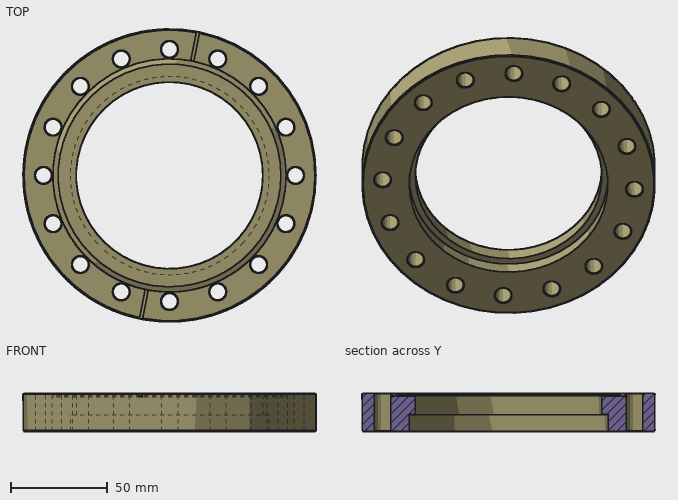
import cadquery as cq
import math

flange_diameter = 151.6
thickness = 19.9
rim_chamfer = 0.6

recess_radius = 60.4
recess_depth = 1.8
knife_radius = 57.6
knife_angle = 20.0
knife_depth = recess_depth - (recess_radius - knife_radius) * math.tan(math.radians(knife_angle))
floor_depth = 1.4

bore_radius = 48.2
socket_radius = 51.4
socket_height = 8.8

bolt_count = 16
bolt_circle_radius = 65.2
bolt_hole_diameter = 8.3
bolt_chamfer = 0.38

bolt_pitch = 360.0 / bolt_count
groove_angle = 90.0 - bolt_pitch / 2
groove_width = 1.7
groove_inner_depth = 0.9
groove_rim_depth = 1.8


def flange_ring():
    """Revolve the half section around Z."""
    outer_radius = flange_diameter / 2
    section = (
        cq.Workplane("XZ")
        .moveTo(socket_radius, 0)
        .lineTo(outer_radius - rim_chamfer, 0)
        .lineTo(outer_radius, rim_chamfer)
        .lineTo(outer_radius, thickness - rim_chamfer)
        .lineTo(outer_radius - rim_chamfer, thickness)
        .lineTo(recess_radius, thickness)
        .lineTo(recess_radius, thickness - recess_depth)
        .lineTo(knife_radius, thickness - knife_depth)
        .lineTo(knife_radius, thickness - floor_depth)
        .lineTo(bore_radius, thickness - floor_depth)
        .lineTo(bore_radius, socket_height)
        .lineTo(socket_radius, socket_height)
        .close()
    )
    return section.revolve(360, (0, 0, 0), (0, 1, 0))


def bolt_holes():
    """Through holes with a chamfer at both ends, spaced evenly on the bolt circle."""
    hole_radius = bolt_hole_diameter / 2
    mouth_radius = hole_radius + bolt_chamfer
    hole = (
        cq.Workplane("XZ")
        .moveTo(0, 0)
        .lineTo(mouth_radius, 0)
        .lineTo(hole_radius, bolt_chamfer)
        .lineTo(hole_radius, thickness - bolt_chamfer)
        .lineTo(mouth_radius, thickness)
        .lineTo(0, thickness)
        .close()
        .revolve(360, (0, 0, 0), (0, 1, 0))
    )
    return (
        cq.Workplane("XY")
        .polarArray(bolt_circle_radius, 0, 360, bolt_count)
        .eachpoint(lambda place: hole.val().moved(place))
    )


def leak_check_groove(angle):
    """Radial groove in the top face, deepening from the sealing recess out to the rim."""
    rim_radius = flange_diameter / 2
    profile = (
        cq.Workplane("XZ")
        .moveTo(recess_radius, thickness)
        .lineTo(recess_radius, thickness - groove_inner_depth)
        .lineTo(rim_radius, thickness - groove_rim_depth)
        .lineTo(rim_radius, thickness)
        .close()
    )
    return profile.extrude(groove_width / 2, both=True).rotate((0, 0, 0), (0, 0, 1), angle)


result = flange_ring().cut(bolt_holes())
for angle in (groove_angle, groove_angle + 180):
    result = result.cut(leak_check_groove(angle))